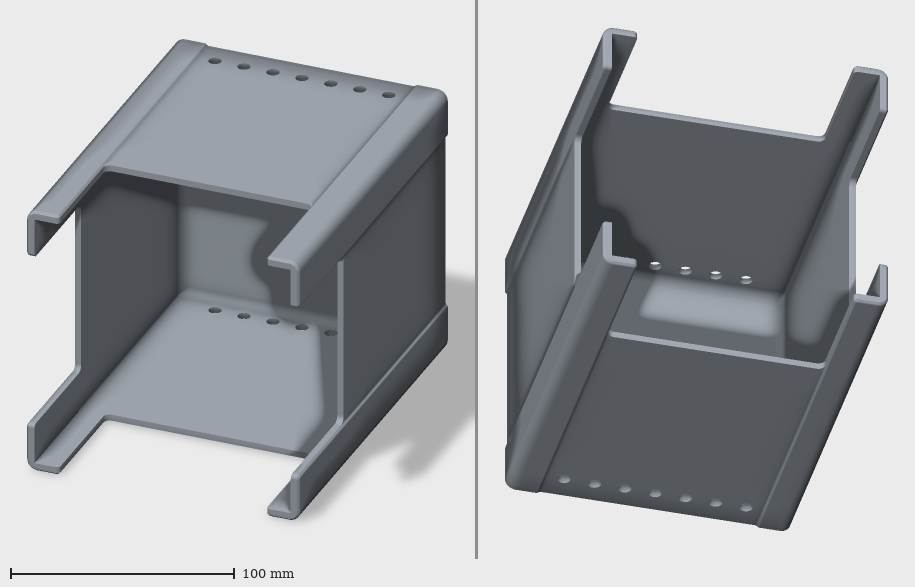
import cadquery as cq
import math

outer_side = 132.0
length = 175.0
front_y = -length / 2
back_y = length / 2

cavity_side = 123.9
rail_step = 1.0
panel_side = outer_side - 2 * rail_step
panel_length = 120.0
panel_front_y = back_y - panel_length
panel_thickness = (panel_side - cavity_side) / 2
back_thickness = panel_thickness
back_fillet = 4.0
cavity_corner_radius = 1.0

rail_width_x = 16.0
rail_width_z = 23.5
rail_thickness = (outer_side - cavity_side) / 2
rail_corner_radius = 5.0
rail_tip_radius = 2.0
rail_chamfer = rail_step
chamfer_angle = math.radians(45)
rail_blend_radius = 1.0
notch_radius = 3.2
web_front_y = panel_front_y - notch_radius

hole_diameter = 6.0
hole_pitch = 14.0
hole_count = 7
hole_back_offset = 11.9
hole_row_shift = 0.4


def box(size_x, size_z, y_start, y_end):
    """Block centred on the Y axis that runs from y_start to y_end."""
    return cq.Workplane("XY").box(size_x, y_end - y_start, size_z).translate((0, (y_start + y_end) / 2, 0))


def add_mirrored(body, piece):
    """Join a piece to the body, with its mirror images in X and in Z."""
    for side_piece in (piece, piece.mirror("YZ")):
        body = body.union(side_piece).union(side_piece.mirror("XY"))
    return body


def make_rail():
    """L-shaped rail for the -X, -Z corner, with rounded tips and a softened chamfer on its outer rim."""
    low = -outer_side / 2
    inner = low + rail_thickness
    rail = (
        cq.Workplane("XZ", origin=(0, back_y, 0))
        .moveTo(low, low)
        .lineTo(low + rail_width_x, low)
        .lineTo(low + rail_width_x, inner)
        .lineTo(inner, inner)
        .lineTo(inner, low + rail_width_z)
        .lineTo(low, low + rail_width_z)
        .close()
        .extrude(length)
    )
    rail = rail.faces("<X").edges("<Z").fillet(rail_corner_radius)
    rail = rail.faces("<Y").edges(">X or >Z").fillet(rail_tip_radius)
    rail = rail.faces("<X").edges(">Z").chamfer(rail_chamfer)
    return rail.faces("<X").edges(">Z").fillet(rail_blend_radius)


def make_foot_blend(rail_width):
    """Strip on the top panel whose hollow arc joins the panel to the 45 degree chamfer of the -X rail."""
    edge_x = rail_width - outer_side / 2
    panel_z = panel_side / 2
    half_angle = chamfer_angle / 2
    tangent = rail_blend_radius * math.tan(half_angle)
    rise = tangent * math.sin(chamfer_angle)
    arc_middle_x = edge_x + tangent - rail_blend_radius * math.sin(half_angle)
    arc_middle_z = panel_z + rail_blend_radius * (1 - math.cos(half_angle))
    root_z = panel_z - panel_thickness / 2
    return (
        cq.Workplane("XZ", origin=(0, back_y, 0))
        .moveTo(edge_x - rise, root_z)
        .lineTo(edge_x - rise, panel_z + rise)
        .threePointArc((arc_middle_x, arc_middle_z), (edge_x + tangent, panel_z))
        .lineTo(edge_x + tangent, root_z)
        .close()
        .extrude(back_y - web_front_y)
    )


def make_shell():
    """Four panels and the back, with rounded webs that join the front edges of the panels to the rails."""
    shell = box(panel_side, panel_side, web_front_y, back_y)
    shell = shell.edges("|Y").fillet(rail_corner_radius)
    cavity = box(cavity_side, cavity_side, front_y, back_y - back_thickness)
    cavity = cavity.faces(">Y").edges().fillet(back_fillet)
    cavity = cavity.edges("|Y").fillet(cavity_corner_radius)
    shell = shell.cut(cavity)

    shell = add_mirrored(shell, make_foot_blend(rail_width_x))
    side_blend = make_foot_blend(rail_width_z).rotate((0, 0, 0), (0, 1, 0), 90)
    shell = add_mirrored(shell, side_blend)

    top_notch = box(outer_side - 2 * rail_width_x, outer_side, front_y, panel_front_y)
    side_notch = box(outer_side, outer_side - 2 * rail_width_z, front_y, panel_front_y)
    shell = shell.cut(top_notch.edges("|Z and >Y").fillet(notch_radius))
    return shell.cut(side_notch.edges("|X and >Y").fillet(notch_radius))


def make_holes():
    """Straight row of cylinders that passes through the top and bottom panels."""
    return (
        cq.Workplane("XY", origin=(hole_row_shift, back_y - hole_back_offset, -outer_side / 2))
        .rarray(hole_pitch, 1.8, hole_count, 1)
        .circle(hole_diameter / 2)
        .extrude(outer_side)
    )


result = add_mirrored(make_shell(), make_rail()).cut(make_holes()).solids()